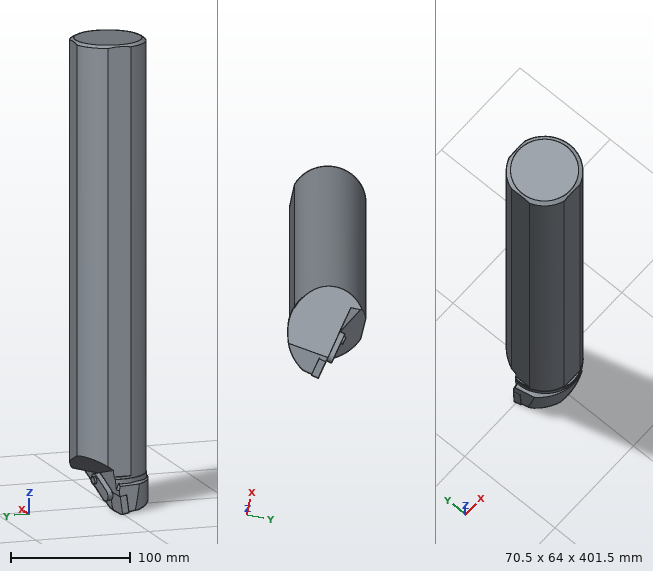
import cadquery as cq
import math

total_length = 401.5
total_width = 70.5

shank_radius = 32.0
flat_depth = 1.5
flat_distance = shank_radius - flat_depth
left_flat_bottom = 31.5
front_flat_bottom = 27.7
top_chamfer_height = 2.0
top_chamfer_width = 3.5

collar_radius = 32.5
collar_top = 29.5

head_front_radius = 33.5
head_side_radius = 40.0
head_height = 27.0
shoulder_height = 3.0
shoulder_width = 6.5

tip_x = shank_radius - total_width
rake_slope_x = 0.22
rake_slope_z = 0.1

insert_edge = 16.0
insert_angle = 80.0
insert_thickness = 6.5
nose_radius = 1.5
lead_angle = (90.0 - insert_angle) / 2
flank_inset = 0.6

relief_angle = 35.0
relief_height_at_axis = 15.5

roof_height_at_axis = 19.5
roof_slope_x = -0.43
roof_slope_y = 0.75

clamp_radius = 5.42
clamp_height = 5.0
clamp_nose = (19.0, 15.0)
clamp_screw = (33.0, 25.0)
screw_head_diameter = 6.5
screw_head_height = 2.0

cutter_size = 241.0

rake_plane = cq.Plane(
    origin=(tip_x, 0, 0),
    xDir=(1, rake_slope_x, 0),
    normal=(-rake_slope_x, 1, -rake_slope_z),
)
roof_plane = cq.Plane(
    origin=(0, 0, roof_height_at_axis),
    xDir=(1, 0, roof_slope_x),
    normal=(roof_slope_x, roof_slope_y, -1),
)


def edge_point(length, degrees):
    """Rake plane point at a length and an angle that turns from the local X axis up towards +Z."""
    angle = math.radians(degrees)
    return length * math.cos(angle), -length * math.sin(angle)


def on_rake(point):
    """Local rake plane point at (across, up) from the cutting tip. The local Y axis points down."""
    across, up = point
    return across, -up


def rhombus(edge, depth, inset=0.0):
    """Rhombic prism behind the rake plane with rounded corners, one of them at the cutting tip."""
    half_angle = math.radians(insert_angle / 2)
    corner_setback = nose_radius * (1 - math.cos(math.pi / 4) / math.sin(half_angle)) + inset
    right = edge_point(edge, lead_angle)
    left = edge_point(edge, 90 - lead_angle)
    far = (right[0] + left[0], right[1] + left[1])
    return (
        cq.Workplane(rake_plane)
        .center(*on_rake((corner_setback, corner_setback)))
        .polyline([(0, 0), right, far, left])
        .close()
        .extrude(-depth)
        .edges(cq.selectors.ParallelDirSelector(rake_plane.zDir))
        .fillet(nose_radius)
    )


def make_shank():
    """Round bar with a chamfered top, standing on the collar."""
    return (
        cq.Workplane("XY", origin=(0, 0, collar_top))
        .circle(shank_radius)
        .extrude(total_length - collar_top)
        .faces(">Z")
        .chamfer(top_chamfer_height, top_chamfer_width)
    )


def make_flat_cutter(degrees, bottom):
    """Block that cuts a flat on the side at this angle from +X, down to the given height."""
    return (
        cq.Workplane("XY", origin=(0, 0, bottom))
        .transformed(rotate=(0, 0, degrees))
        .center(flat_distance + cutter_size / 2, 0)
        .rect(cutter_size, cutter_size)
        .extrude(total_length)
    )


def make_head():
    """Cutting end and collar: the flanks follow the insert and the head has a sloped shoulder."""
    side_centre_y = head_side_radius - head_front_radius
    diagonal = math.cos(math.pi / 4)
    lobe = (
        cq.Workplane("XY")
        .moveTo(-head_side_radius, side_centre_y)
        .threePointArc(
            (-head_side_radius * diagonal, side_centre_y - head_side_radius * diagonal),
            (0, -head_front_radius),
        )
        .threePointArc((head_front_radius * diagonal, -head_front_radius * diagonal), (head_front_radius, 0))
        .lineTo(0, side_centre_y)
        .close()
        .extrude(head_height)
    )
    collar = cq.Workplane("XY").circle(collar_radius).extrude(collar_top)
    flanks = rhombus(cutter_size, cutter_size, flank_inset)
    head = lobe.intersect(flanks).faces(">Z").chamfer(shoulder_height, shoulder_width)
    return head.union(collar.intersect(flanks))


def make_relief_cutter():
    """Half space below the slanted relief plane."""
    return (
        cq.Workplane("XY")
        .box(cutter_size, cutter_size, cutter_size, centered=(True, True, False))
        .translate((0, 0, -cutter_size))
        .rotate((0, 0, 0), (0, 1, 0), -relief_angle)
        .translate((0, 0, relief_height_at_axis))
    )


def make_pocket_cutter():
    """Space in front of the rake plane and below the pocket roof."""
    above_rake = cq.Workplane(rake_plane).rect(cutter_size, cutter_size).extrude(cutter_size)
    below_roof = cq.Workplane(roof_plane).rect(cutter_size, cutter_size).extrude(cutter_size)
    return above_rake.intersect(below_roof)


def make_clamp():
    """Round-ended bar on the rake plane with the head of its screw on top."""
    reach = math.dist(clamp_nose, clamp_screw)
    rise = math.degrees(math.atan2(clamp_screw[1] - clamp_nose[1], clamp_screw[0] - clamp_nose[0]))
    middle = [(a + b) / 2 for a, b in zip(clamp_nose, clamp_screw)]
    bar = (
        cq.Workplane(rake_plane)
        .center(*on_rake(middle))
        .slot2D(reach + 2 * clamp_radius, 2 * clamp_radius, -rise)
        .extrude(clamp_height)
    )
    screw_head = (
        cq.Workplane(rake_plane)
        .center(*on_rake(clamp_screw))
        .circle(screw_head_diameter / 2)
        .extrude(clamp_height + screw_head_height)
    )
    return bar.union(screw_head)


insert = rhombus(insert_edge, insert_thickness)

holder = make_shank().union(make_head())
for degrees, bottom in ((90, collar_top), (180, left_flat_bottom), (270, front_flat_bottom)):
    holder = holder.cut(make_flat_cutter(degrees, bottom))
holder = holder.cut(make_relief_cutter()).cut(make_pocket_cutter())
holder = holder.union(make_clamp()).cut(insert)

result = cq.Compound.makeCompound([holder.val(), insert.val()])